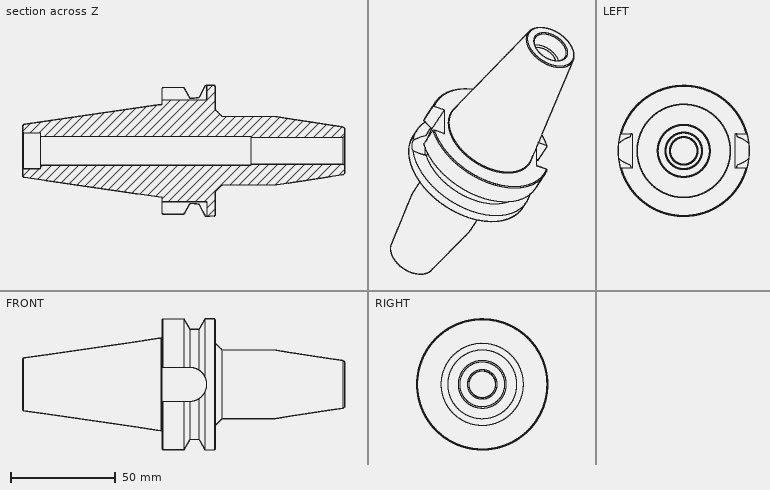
import cadquery as cq
import math


GAUGE_DIAMETER = 44.45
TAPER_RATIO = 7 / 24
TAPER_LENGTH = 65.4
SHANK_END_CHAMFER = 0.5
SHANK_END_DIAMETER = GAUGE_DIAMETER - TAPER_RATIO * (TAPER_LENGTH - SHANK_END_CHAMFER)

FLANGE_START = 1.3
NECK_FLARE_START = 0.8
NECK_FLARE = 0.25

FLANGE_DIAMETER = 62.99
FLANGE_END = 27.0
FLANGE_CHAMFER = 0.5
GROOVE_CENTER = 17.0
GROOVE_DIAMETER = 53.1
GROOVE_FLOOR_WIDTH = 4.4
GROOVE_FLANK_ANGLE = 30.0

OVERALL_LENGTH = 154.43
NOSE_END = OVERALL_LENGTH - TAPER_LENGTH
NOSE_DIAMETER = 33.05
NOSE_ROOT_CHAMFER = 3.2
NOSE_CONE_START = 55.6
NOSE_TIP_DIAMETER = 23.0
NOSE_TIP_CHAMFER = 0.76

SHANK_BORE_DIAMETER = 17.02
SHANK_BORE_CHAMFER = 0.5
SHANK_BORE_DEPTH = 8.5
MIDDLE_BORE_DIAMETER = 13.72
TOOL_BORE_DIAMETER = 12.7
TOOL_BORE_DEPTH = 45.0
TOOL_BORE_MOUTH_DIAMETER = 14.22

SLOT_WIDTH = 16.4
SLOT_FLOOR_RADIUS = 24.5
SLOT_END = 22.8


def make_body():
    """Revolve the outer profile around the X axis."""
    gauge_radius = GAUGE_DIAMETER / 2
    shank_radius = SHANK_END_DIAMETER / 2
    flange_radius = FLANGE_DIAMETER / 2
    groove_radius = GROOVE_DIAMETER / 2
    nose_radius = NOSE_DIAMETER / 2
    tip_radius = NOSE_TIP_DIAMETER / 2
    floor_half = GROOVE_FLOOR_WIDTH / 2
    flank_run = (flange_radius - groove_radius) * math.tan(math.radians(GROOVE_FLANK_ANGLE))
    mouth_half = floor_half + flank_run

    profile = [
        (-TAPER_LENGTH, 0),
        (-TAPER_LENGTH, shank_radius - SHANK_END_CHAMFER),
        (-TAPER_LENGTH + SHANK_END_CHAMFER, shank_radius),
        (0, gauge_radius),
        (NECK_FLARE_START, gauge_radius),
        (FLANGE_START, gauge_radius + NECK_FLARE),
        (FLANGE_START, flange_radius - FLANGE_CHAMFER),
        (FLANGE_START + FLANGE_CHAMFER, flange_radius),
        (GROOVE_CENTER - mouth_half, flange_radius),
        (GROOVE_CENTER - floor_half, groove_radius),
        (GROOVE_CENTER + floor_half, groove_radius),
        (GROOVE_CENTER + mouth_half, flange_radius),
        (FLANGE_END - FLANGE_CHAMFER, flange_radius),
        (FLANGE_END, flange_radius - FLANGE_CHAMFER),
        (FLANGE_END, nose_radius + NOSE_ROOT_CHAMFER),
        (FLANGE_END + NOSE_ROOT_CHAMFER, nose_radius),
        (NOSE_CONE_START, nose_radius),
        (NOSE_END - NOSE_TIP_CHAMFER, tip_radius),
        (NOSE_END, tip_radius - NOSE_TIP_CHAMFER),
        (NOSE_END, 0),
    ]
    return cq.Workplane("XY").polyline(profile).close().revolve(360, (0, 0, 0), (1, 0, 0))


def make_bore():
    """Revolve the stepped through bore, open at both ends."""
    shank_radius = SHANK_BORE_DIAMETER / 2
    middle_radius = MIDDLE_BORE_DIAMETER / 2
    tool_radius = TOOL_BORE_DIAMETER / 2
    mouth_radius = TOOL_BORE_MOUTH_DIAMETER / 2
    shank_bore_end = -TAPER_LENGTH + SHANK_BORE_DEPTH
    tool_bore_start = NOSE_END - TOOL_BORE_DEPTH

    profile = [
        (-TAPER_LENGTH, 0),
        (-TAPER_LENGTH, shank_radius + SHANK_BORE_CHAMFER),
        (-TAPER_LENGTH + SHANK_BORE_CHAMFER, shank_radius),
        (shank_bore_end, shank_radius),
        (shank_bore_end, middle_radius),
        (tool_bore_start, middle_radius),
        (tool_bore_start, tool_radius),
        (NOSE_END - (mouth_radius - tool_radius), tool_radius),
        (NOSE_END, mouth_radius),
        (NOSE_END, 0),
    ]
    return cq.Workplane("XY").polyline(profile).close().revolve(360, (0, 0, 0), (1, 0, 0))


def make_drive_slot(side):
    """Round-ended cutter for one slot; side is -1 for -Y and +1 for +Y."""
    end_radius = SLOT_WIDTH / 2
    arc_center = SLOT_END - end_radius
    return (
        cq.Workplane("XZ", origin=(0, side * SLOT_FLOOR_RADIUS, 0))
        .moveTo(0, -end_radius)
        .lineTo(arc_center, -end_radius)
        .threePointArc((SLOT_END, 0), (arc_center, end_radius))
        .lineTo(0, end_radius)
        .close()
        .extrude(-side * FLANGE_DIAMETER / 2)
    )


result = make_body().cut(make_bore())
for slot_side in (-1, 1):
    result = result.cut(make_drive_slot(slot_side))